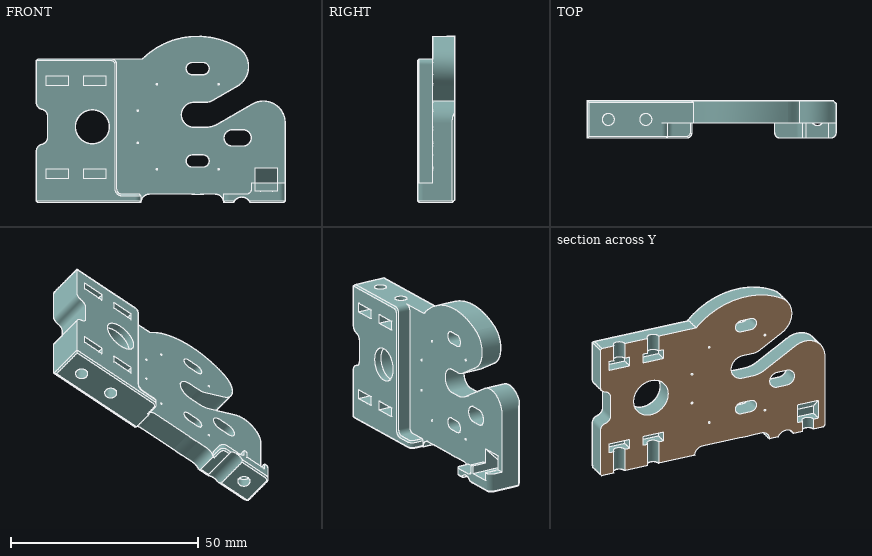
import cadquery as cq
import math


length = 66.5
depth = 10.0
height = 44.44
plate_thickness = 6.0
plate_front = depth - plate_thickness
block_width = 21.5
block_height = 38.35
floor_z = 2.25
mid_z = 20.25

edge_chamfer = 0.45
back_chamfer = 0.8
foot_corner_radius = 1.5

pivot_x = 43.1
pivot_z = 23.45
lobe_radius = height - pivot_z
nose_radius = 6.07
nose_right_x = 56.73
hump_top_z = 27.15
hump_radius = 5.85
mouth_radius = 3.3
mouth_centre_x = 42.08
mouth_angle = 30.0
upper_elbow_radius = 3.7
lower_elbow_radius = 6.6

left_foot_end = 28.0
right_foot_start = 50.0
arch_radius = floor_z
arch_bulge_width = 3.5
arch_bulge = 0.1
right_foot_height = 5.3
step_x = 57.5
step_radius = 1.5
groove_x = 54.9
groove_radius = 2.4
groove_depth = 1.45

block_corner_radius = 1.5
inner_corner_radius = 1.4
notch_depth = 3.0
notch_radius = 1.9
notch_half_flat = 2.8
bore_x = 15.0
bore_diameter = 9.0
bore_lip = 2.0
bore_back_diameter = 10.1

screw_diameter = 3.2
screw_y = depth / 2
nut_width = 6.0
nut_thickness = 2.5
nut_pocket_depth = 8.0
nut_xs = (5.65, 15.65)
upper_nut_z = 32.55
lower_nut_z = 7.75
foot_nut_x = 61.45
foot_nut_floor = 3.1

slot_travel = 2.9
screw_circle_radius = 12.33
large_slot_diameter = 4.3

pin_circle_x = 40.45
pin_circle_radius = 14.0
pin_diameter = 0.4
pin_depth = 2.0
pin_angles = (54, 126, 162, 198, 234, 306)


def front_plane(y):
    """XZ sketch plane at the given Y; positive extrusion runs toward +Y."""
    return cq.Workplane(cq.Plane(origin=(0, y, 0), xDir=(1, 0, 0), normal=(0, -1, 0)))


def prism(sketch, thickness):
    return sketch.extrude(-thickness)


def on_circle(cx, cz, radius, angle):
    a = math.radians(angle)
    return (cx + radius * math.cos(a), cz + radius * math.sin(a))


def elbow(line_point, flat_z, radius):
    """Start, middle and end of the upward arc from a flat mouth side into its sloped part."""
    slope = math.tan(math.radians(mouth_angle))
    corner_x = line_point[0] - (line_point[1] - flat_z) / slope
    tangent = radius * math.tan(math.radians(mouth_angle / 2))
    centre_x = corner_x - tangent
    centre_z = flat_z + radius
    return [
        on_circle(centre_x, centre_z, radius, angle)
        for angle in (-90, mouth_angle / 2 - 90, mouth_angle - 90)
    ]


def plate_body():
    nose_x = nose_right_x - nose_radius
    nose_z = pivot_z + math.sqrt((lobe_radius - nose_radius) ** 2 - (nose_x - pivot_x) ** 2)
    lobe_end_angle = math.degrees(math.atan2(nose_z - pivot_z, nose_x - pivot_x))
    lobe_start_angle = 180 - math.degrees(math.asin((block_height - pivot_z) / lobe_radius))
    nose_end = on_circle(nose_x, nose_z, nose_radius, mouth_angle - 90)

    hump_x = length - hump_radius
    hump_z = hump_top_z - hump_radius
    hump_start = on_circle(hump_x, hump_z, hump_radius, mouth_angle + 90)
    hump_mid = on_circle(hump_x, hump_z, hump_radius, (mouth_angle + 90) / 2)

    upper = elbow(nose_end, pivot_z + mouth_radius, upper_elbow_radius)
    lower = elbow(hump_start, pivot_z - mouth_radius, lower_elbow_radius)
    diagonal = arch_radius * math.sqrt(0.5)
    bulge_left = pivot_x - arch_bulge_width / 2
    bulge_right = pivot_x + arch_bulge_width / 2

    outline = (
        front_plane(plate_front)
        .moveTo(0, 0)
        .lineTo(0, block_height)
        .lineTo(*on_circle(pivot_x, pivot_z, lobe_radius, lobe_start_angle))
        .threePointArc(
            (pivot_x, pivot_z + lobe_radius),
            on_circle(pivot_x, pivot_z, lobe_radius, lobe_end_angle),
        )
        .threePointArc((nose_right_x, nose_z), nose_end)
        .lineTo(*upper[2])
        .threePointArc(upper[1], upper[0])
        .lineTo(mouth_centre_x, pivot_z + mouth_radius)
        .threePointArc(
            (mouth_centre_x - mouth_radius, pivot_z), (mouth_centre_x, pivot_z - mouth_radius)
        )
        .lineTo(*lower[0])
        .threePointArc(lower[1], lower[2])
        .lineTo(*hump_start)
        .threePointArc(hump_mid, (length, hump_z))
        .lineTo(length, 0)
        .lineTo(right_foot_start, 0)
        .threePointArc(
            (right_foot_start - arch_radius + diagonal, floor_z - arch_radius + diagonal),
            (right_foot_start - arch_radius, floor_z),
        )
        .lineTo(bulge_right, floor_z)
        .threePointArc((pivot_x, floor_z - arch_bulge), (bulge_left, floor_z))
        .lineTo(left_foot_end + arch_radius, floor_z)
        .threePointArc(
            (left_foot_end + arch_radius - diagonal, floor_z - arch_radius + diagonal),
            (left_foot_end, 0),
        )
        .close()
    )
    return prism(outline, plate_thickness)


def nearest(x, y, z):
    return cq.selectors.NearestToPointSelector((x, y, z))


def block_front():
    outline = (
        front_plane(0)
        .moveTo(0, 0)
        .lineTo(0, block_height)
        .lineTo(block_width, block_height)
        .lineTo(block_width, floor_z)
        .lineTo(left_foot_end, floor_z)
        .lineTo(left_foot_end, 0)
        .close()
    )
    block = prism(outline, plate_front)
    mid_y = plate_front / 2
    block = block.edges(nearest(block_width, mid_y, block_height)).fillet(block_corner_radius)
    block = block.edges(nearest(block_width, mid_y, floor_z)).fillet(inner_corner_radius)
    return block.edges(nearest(left_foot_end, 0, floor_z / 2)).fillet(foot_corner_radius)


def right_foot():
    outline = (
        front_plane(0)
        .moveTo(right_foot_start, 0)
        .lineTo(right_foot_start, floor_z)
        .lineTo(step_x - step_radius, floor_z)
        .radiusArc((step_x, floor_z + step_radius), -step_radius)
        .lineTo(step_x, right_foot_height)
        .lineTo(length, right_foot_height)
        .lineTo(length, 0)
        .close()
    )
    foot = prism(outline, plate_front)
    return foot.edges("|Z and <Y").edges("<X or >X").fillet(foot_corner_radius)


def inside(edge, low, high):
    """Whether the edge lies within the box between two corner points."""
    box = edge.BoundingBox()
    tol = 1e-3
    return (
        box.xmin > low[0] - tol and box.ymin > low[1] - tol and box.zmin > low[2] - tol
        and box.xmax < high[0] + tol and box.ymax < high[1] + tol and box.zmax < high[2] + tol
    )


def chamfer_within(part, size, *boxes):
    edges = [e for e in part.edges().vals() if any(inside(e, low, high) for low, high in boxes)]
    return part.newObject(edges).chamfer(size)


def back_bevels():
    """Wedges that bevel the rear face along its bottom and its right-hand side."""
    bottom = (
        cq.Workplane("YZ")
        .moveTo(depth, 0)
        .lineTo(depth - back_chamfer, 0)
        .lineTo(depth, back_chamfer)
        .close()
        .extrude(length)
    )
    side = (
        cq.Workplane("XY")
        .moveTo(length, depth)
        .lineTo(length - back_chamfer, depth)
        .lineTo(length, depth - back_chamfer)
        .close()
        .extrude(block_height)
    )
    return bottom.union(side)


def left_notch():
    """Notch whose mouth corners and floor corners are equal arcs running into each other."""
    reach = 2 * notch_radius
    rise = math.sqrt(reach ** 2 - (notch_depth - reach) ** 2)
    half_mouth = notch_half_flat + rise
    bend = (notch_depth / 2, notch_half_flat + rise / 2)
    sketch = (
        front_plane(0)
        .moveTo(0, mid_z - half_mouth)
        .radiusArc((bend[0], mid_z - bend[1]), notch_radius)
        .radiusArc((notch_depth, mid_z - notch_half_flat), -notch_radius)
        .lineTo(notch_depth, mid_z + notch_half_flat)
        .radiusArc((bend[0], mid_z + bend[1]), -notch_radius)
        .radiusArc((0, mid_z + half_mouth), notch_radius)
        .close()
    )
    return prism(sketch, depth)


def stepped_bore():
    lip = prism(front_plane(0).center(bore_x, mid_z).circle(bore_diameter / 2), depth)
    back = front_plane(bore_lip).center(bore_x, mid_z).circle(bore_back_diameter / 2)
    return lip.union(prism(back, depth - bore_lip))


def vertical_hole(x, bottom, top):
    return cq.Workplane("XY", origin=(x, screw_y, bottom)).circle(screw_diameter / 2).extrude(top - bottom)


def block_nut(x, nut_z, screw_end):
    pocket = prism(front_plane(0).center(x, nut_z).rect(nut_width, nut_thickness), nut_pocket_depth)
    return pocket.union(vertical_hole(x, min(nut_z, screw_end), max(nut_z, screw_end)))


def foot_nut():
    """Pocket open to the front and above the foot, with a 45 degree roof inside the plate."""
    rear_height = right_foot_height
    front_height = rear_height + nut_pocket_depth
    pocket = (
        cq.Workplane("YZ", origin=(foot_nut_x - nut_width / 2, 0, 0))
        .moveTo(0, foot_nut_floor)
        .lineTo(0, front_height)
        .lineTo(nut_pocket_depth, rear_height)
        .lineTo(nut_pocket_depth, foot_nut_floor)
        .close()
        .extrude(nut_width)
    )
    return pocket.union(vertical_hole(foot_nut_x, 0, foot_nut_floor))


def plate_slot(angle, diameter):
    x, z = on_circle(pivot_x, pivot_z, screw_circle_radius, angle)
    return prism(front_plane(0).center(x, z).slot2D(slot_travel + diameter, diameter), depth)


def pin_hole(angle):
    x, z = on_circle(pin_circle_x, mid_z, pin_circle_radius, angle)
    return prism(front_plane(plate_front).center(x, z).circle(pin_diameter / 2), pin_depth)


def foot_groove():
    centre_z = groove_depth - groove_radius
    return prism(front_plane(0).center(groove_x, centre_z).circle(groove_radius), depth)


result = plate_body().union(block_front()).union(right_foot())
result = chamfer_within(
    result,
    edge_chamfer,
    ((0, 0, 0), (left_foot_end, 0, 0)),
    ((0, 0, floor_z), (left_foot_end, 0, block_height)),
    ((0, 0, 0), (0, depth, 0)),
    ((0, 0, block_height), (0, depth, block_height)),
    ((0, depth, block_height), (pivot_x, depth, block_height)),
    ((right_foot_start, 0, 0), (length, plate_front, 0)),
    ((length, 0, 0), (length, depth, 0)),
)
result = result.cut(back_bevels())
result = result.cut(left_notch()).cut(stepped_bore()).cut(foot_groove()).cut(foot_nut())
for nut_x in nut_xs:
    result = result.cut(block_nut(nut_x, upper_nut_z, block_height))
    result = result.cut(block_nut(nut_x, lower_nut_z, 0))
for slot_angle in (90, -90):
    result = result.cut(plate_slot(slot_angle, screw_diameter))
result = result.cut(plate_slot(-mouth_angle, large_slot_diameter))
for pin_angle in pin_angles:
    result = result.cut(pin_hole(pin_angle))